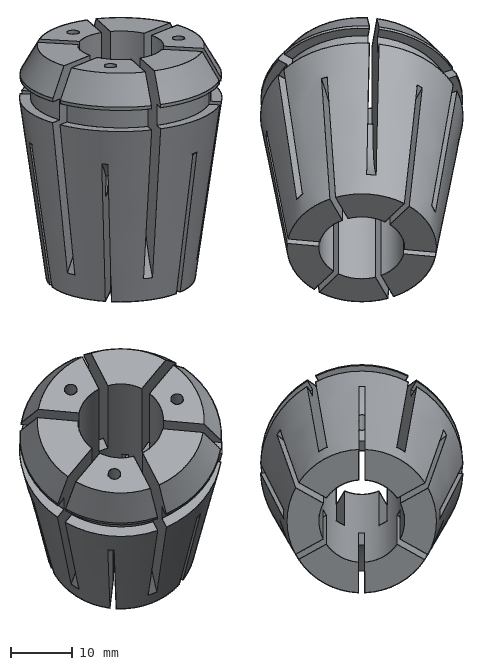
import cadquery as cq
import math

LENGTH = 40.0
BORE_RADIUS = 6.95
CONE_TOP_Z = 30.95
CONE_TOP_RADIUS = 33.0 / 2
CONE_HALF_ANGLE = math.radians(8)
GROOVE_RADIUS = 29.4 / 2
GROOVE_TOP_Z = 34.55
RIM_RADIUS = 16.4
RIM_TOP_Z = 35.1
NOSE_HALF_ANGLE = math.radians(30)

SLOT_COUNT = 6
SLOT_PITCH = 360 / SLOT_COUNT
SLOT_ROOT_SLOPE = math.radians(15)
SLOT_OVERRUN = 2.0

TOP_SLOT_WIDTH = 1.55
TOP_SAW_RADIUS = 24.8
TOP_SLOT_OUTER_Z = 4.0
TOP_SLOT_INNER_RADIUS = 8.7
TOP_SLOT_INNER_Z = 20.2

BOTTOM_SLOT_WIDTH = 1.0
BOTTOM_SAW_RADIUS = 17.6
BOTTOM_SLOT_OUTER_Z = 24.95
BOTTOM_SLOT_INNER_RADIUS = 8.8
BOTTOM_SLOT_INNER_Z = 16.65

HOLE_COUNT = 3
HOLE_FIRST_ANGLE = 90
HOLE_RADIUS = 1.0
HOLE_CENTER_RADIUS = 10.05
HOLE_DEPTH = 22.0
HOLE_LEAN = math.radians(2.4)


def cone_radius(z):
    """Outer radius of the long clamping cone at height z."""
    return CONE_TOP_RADIUS - (CONE_TOP_Z - z) * math.tan(CONE_HALF_ANGLE)


def make_body():
    nose_radius = RIM_RADIUS - (LENGTH - RIM_TOP_Z) * math.tan(NOSE_HALF_ANGLE)
    outline = [
        (BORE_RADIUS, 0),
        (cone_radius(0), 0),
        (CONE_TOP_RADIUS, CONE_TOP_Z),
        (GROOVE_RADIUS, CONE_TOP_Z),
        (GROOVE_RADIUS, GROOVE_TOP_Z),
        (RIM_RADIUS, GROOVE_TOP_Z),
        (RIM_RADIUS, RIM_TOP_Z),
        (nose_radius, LENGTH),
        (BORE_RADIUS, LENGTH),
    ]
    return cq.Workplane("XZ").polyline(outline).close().revolve(360, (0, 0, 0), (0, 1, 0))


def bulge_point(start, end, radius):
    """Middle of the minor arc from start to end that bulges toward the axis."""
    run, rise = end[0] - start[0], end[1] - start[1]
    chord = math.hypot(run, rise)
    sagitta = radius - math.sqrt(radius**2 - (chord / 2) ** 2)
    side = -math.copysign(sagitta / chord, rise)
    return ((start[0] + end[0]) / 2 + rise * side, (start[1] + end[1]) / 2 - run * side)


def make_slot(width, saw_radius, outer, inner, open_z):
    """One radial slot along +X, open past the end face nearest open_z."""
    direction = math.copysign(1, open_z - inner[1])
    root_z = inner[1] - direction * inner[0] * math.tan(SLOT_ROOT_SLOPE)
    clear_radius = CONE_TOP_RADIUS + SLOT_OVERRUN
    return (
        cq.Workplane("XZ")
        .moveTo(0, root_z)
        .lineTo(*inner)
        .threePointArc(bulge_point(inner, outer, saw_radius), outer)
        .lineTo(clear_radius, outer[1])
        .lineTo(clear_radius, open_z)
        .lineTo(0, open_z)
        .close()
        .extrude(width / 2, both=True)
    )


def cut_slots(body, slot, first_angle):
    for index in range(SLOT_COUNT):
        body = body.cut(slot.rotate((0, 0, 0), (0, 0, 1), first_angle + index * SLOT_PITCH))
    return body


def cut_holes(body):
    axis = cq.Vector(math.sin(HOLE_LEAN), 0, -math.cos(HOLE_LEAN))
    mouth = cq.Vector(HOLE_CENTER_RADIUS, 0, LENGTH)
    start = mouth - axis * HOLE_RADIUS
    hole = cq.Workplane(cq.Solid.makeCylinder(HOLE_RADIUS, HOLE_DEPTH + HOLE_RADIUS, start, axis))
    for index in range(HOLE_COUNT):
        angle = HOLE_FIRST_ANGLE + index * 360 / HOLE_COUNT
        body = body.cut(hole.rotate((0, 0, 0), (0, 0, 1), angle))
    return body


top_slot = make_slot(
    TOP_SLOT_WIDTH,
    TOP_SAW_RADIUS,
    (cone_radius(TOP_SLOT_OUTER_Z), TOP_SLOT_OUTER_Z),
    (TOP_SLOT_INNER_RADIUS, TOP_SLOT_INNER_Z),
    LENGTH + SLOT_OVERRUN,
)
bottom_slot = make_slot(
    BOTTOM_SLOT_WIDTH,
    BOTTOM_SAW_RADIUS,
    (cone_radius(BOTTOM_SLOT_OUTER_Z), BOTTOM_SLOT_OUTER_Z),
    (BOTTOM_SLOT_INNER_RADIUS, BOTTOM_SLOT_INNER_Z),
    -SLOT_OVERRUN,
)

collet = make_body()
collet = cut_slots(collet, top_slot, 0)
collet = cut_slots(collet, bottom_slot, SLOT_PITCH / 2)
result = cut_holes(collet)